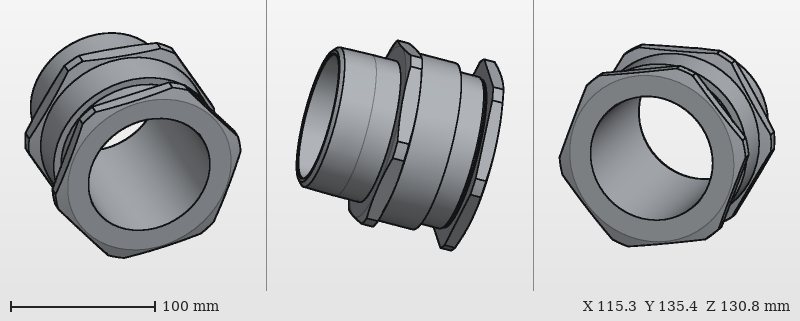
import cadquery as cq

length = 115.3
lead_chamfer = 2.7
taper_end = 25.5
lock_nut_start = 43.5
lock_nut_end = 55.5
collar_end = 84.8
barrel_end = 104.4
barrel_chamfer = 1.5
cap_nut_start = 105.5

bore_radius = 44.3
bore_mouth_chamfer = 0.7
lead_radius = 47.3
taper_radius = 50.1
thread_radius = 50.7
collar_radius = 59.7
barrel_radius = 54.5
neck_radius = 53.2

across_flats = 123.0
corner_radius = 67.7
nut_start_face_radius = 61.2
nut_start_chamfer = 1.6
nut_end_face_radius = 59.6
nut_end_chamfer = 2.2
flats_up_turn = 30
cap_nut_turn = 9.7


def revolve_about_x(points):
    """Solid of revolution from (x, radius) points; the axis closes the outline."""
    outline = [(points[0][0], 0), *points, (points[-1][0], 0)]
    return cq.Workplane("XY").polyline(outline).close().revolve(360, (0, 0, 0), (1, 0, 0))


def hex_nut(start, end, turn, chamfer_start):
    """Hexagonal nut with flats facing +Z and -Z before it is turned about X."""
    hexagon = cq.Workplane("YZ", origin=(start, 0, 0)).polygon(6, across_flats, circumscribed=True)
    blank = hexagon.extrude(end - start).rotate((0, 0, 0), (1, 0, 0), flats_up_turn + turn)
    profile = [(end - nut_end_chamfer, corner_radius), (end, nut_end_face_radius)]
    if chamfer_start:
        profile = [(start, nut_start_face_radius), (start + nut_start_chamfer, corner_radius)] + profile
    else:
        profile = [(start, corner_radius)] + profile
    return blank.intersect(revolve_about_x(profile))


body = revolve_about_x([
    (0, lead_radius),
    (lead_chamfer, taper_radius),
    (taper_end, thread_radius),
    (lock_nut_start, thread_radius),
    (lock_nut_start, collar_radius),
    (collar_end, collar_radius),
    (collar_end, barrel_radius),
    (barrel_end - barrel_chamfer, barrel_radius),
    (barrel_end, neck_radius),
    (cap_nut_start, neck_radius),
])

lock_nut = hex_nut(lock_nut_start, lock_nut_end, 0, chamfer_start=True)
cap_nut = hex_nut(cap_nut_start, length, cap_nut_turn, chamfer_start=False)

bore = revolve_about_x([
    (0, bore_radius + bore_mouth_chamfer),
    (bore_mouth_chamfer, bore_radius),
    (length, bore_radius),
])

result = body.union(lock_nut).union(cap_nut).cut(bore)